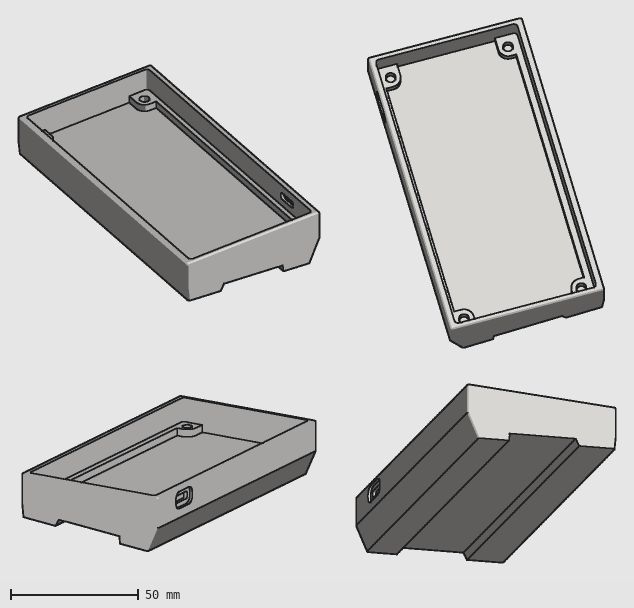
import cadquery as cq
import math

length = 120.0
width = 63.2
height = 22.8
edge_radius = 1.0

kink_height = 10.3
back_inset = 4.7
front_inset = 0.6
base_tilt = math.radians(4.7)

channel_back_y = 14.0
channel_front_y = -15.7
channel_depth = 3.0
channel_back_lean = 0.4
channel_front_lean = 1.6

end_wall = 2.0
side_wall = 2.6
cavity_corner_radius = 1.5
ledge_depth = 9.8
floor_depth = 13.0
back_ledge = 2.0
front_ledge = 2.6

boss_x = 53.1
boss_y = 24.0
boss_radius = 4.0
boss_wall_gap = 0.2
screw_hole_diameter = 4.0

slot_x = 40.2
slot_z = 17.6
slot_length = 8.4
slot_height = 3.0
slot_corner_radius = 0.8
plug_recess_margin = 2.0
plug_recess_depth = 1.2

half_length = length / 2
half_width = width / 2
back_foot_y = half_width - back_inset
front_foot_y = front_inset - half_width
cavity_length = length - 2 * end_wall
cavity_width = width - 2 * side_wall
ledge_z = height - ledge_depth
floor_z = height - floor_depth
step_height = ledge_z - floor_z


def base_point(y, rise=0.0):
    """Profile point at y, raised above the tilted base plane by rise."""
    return (y, (back_foot_y - y) * math.tan(base_tilt) + rise)


def make_body():
    """Solid block with the side profile, rounded along its rim and end corners."""
    outline = [
        (half_width, height),
        (half_width, kink_height),
        base_point(back_foot_y),
        base_point(channel_back_y),
        base_point(channel_back_y - channel_back_lean, channel_depth),
        base_point(channel_front_y + channel_front_lean, channel_depth),
        base_point(channel_front_y),
        base_point(front_foot_y),
        (-half_width, kink_height),
        (-half_width, height),
    ]
    block = cq.Workplane("YZ").polyline(outline).close().extrude(half_length, both=True)

    def is_end_corner(edge):
        """True for the upright and leaning edges at the two ends of the block."""
        center = edge.Center()
        at_end = abs(center.x) > half_length - edge_radius
        return at_end and not front_foot_y < center.y < back_foot_y

    rim = block.faces(">Z").edges()
    end_corners = block.edges().filter(is_end_corner)
    return rim.add(end_corners).fillet(edge_radius)


def make_upper_cavity():
    """Main opening, from the rim down to the ledges and boss tops."""
    return (
        cq.Workplane("XY", origin=(0, 0, ledge_z))
        .rect(cavity_length, cavity_width)
        .extrude(ledge_depth)
        .edges("|Z")
        .fillet(cavity_corner_radius)
    )


def make_boss(x, y):
    """Corner block with its inward corner rounded about the screw hole."""
    x_sign = math.copysign(1, x)
    y_sign = math.copysign(1, y)
    inner_x = x - x_sign * boss_radius
    inner_y = y - y_sign * boss_radius
    outer_x = x_sign * cavity_length / 2
    outer_y = y_sign * cavity_width / 2
    arc_reach = boss_radius * math.sqrt(0.5)
    return (
        cq.Workplane("XY", origin=(0, 0, floor_z))
        .moveTo(outer_x, outer_y)
        .lineTo(inner_x, outer_y)
        .lineTo(inner_x, y)
        .threePointArc((x - x_sign * arc_reach, y - y_sign * arc_reach), (x, inner_y))
        .lineTo(outer_x, inner_y)
        .close()
        .extrude(step_height)
    )


def make_lower_cavity():
    """Recess between the ledges, less the four corner bosses that stand in it."""
    back_y = cavity_width / 2 - back_ledge
    front_y = front_ledge - cavity_width / 2
    recess = (
        cq.Workplane("XY", origin=(0, (back_y + front_y) / 2, floor_z))
        .rect(cavity_length, back_y - front_y)
        .extrude(step_height)
    )
    for x in (-boss_x, boss_x):
        for y in (-boss_y, boss_y):
            recess = recess.cut(make_boss(x, y))
    return recess


def make_screw_holes():
    """Blind holes from the boss tops down to the cavity floor level."""
    return (
        cq.Workplane("XY", origin=(0, 0, floor_z))
        .rect(2 * boss_x, 2 * boss_y, forConstruction=True)
        .vertices()
        .circle(screw_hole_diameter / 2)
        .extrude(step_height)
    )


def make_wall_gap():
    """Narrow gap between the front left boss and the end wall beside it."""
    inner_y = boss_radius - boss_y
    ledge_y = front_ledge - cavity_width / 2
    return cq.Workplane("XY", origin=(-cavity_length / 2, ledge_y, floor_z)).box(
        boss_wall_gap, inner_y - ledge_y, step_height, centered=False
    )


def make_wall_opening(margin, depth):
    """Rounded rectangle cut into the back wall, larger than the cable slot by margin all round."""
    return (
        cq.Workplane("XZ", origin=(slot_x, half_width, slot_z))
        .rect(slot_length + 2 * margin, slot_height + 2 * margin)
        .extrude(depth)
        .edges("|Y")
        .fillet(slot_corner_radius + margin)
    )


result = (
    make_body()
    .cut(make_upper_cavity())
    .cut(make_lower_cavity())
    .cut(make_screw_holes())
    .cut(make_wall_gap())
    .cut(make_wall_opening(0, side_wall))
    .cut(make_wall_opening(plug_recess_margin, plug_recess_depth))
)